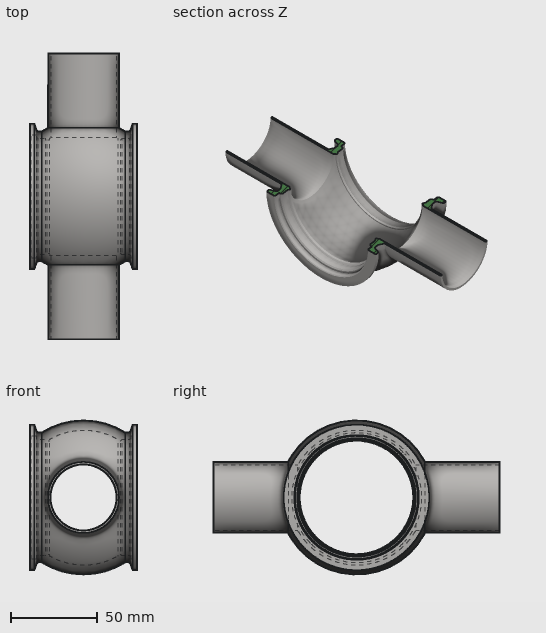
import cadquery as cq
import math

body_length = 62.0
tube_span = 165.0

ball_radius = 44.5
ball_inner_radius = 39.0

tube_outer_radius = 20.5
tube_wall = 1.5

flange_radius = 42.0
flange_rim_width = 2.6
flange_taper_angle = 20.0
flange_fillet_radius = 1.1
neck_radius = 37.5

mouth_chamfer = 0.5
seat_radius = 35.5
seat_depth = 3.8
bore_radius = 33.5
bore_edge_chamfer = 0.7
bore_depth = 9.0
lip_radius = 32.7
lip_end_depth = 11.2

half_length = body_length / 2
tube_inner_radius = tube_outer_radius - tube_wall
lip_chamfer = bore_radius - lip_radius


def chord_half_length(circle_radius, offset):
    """Half length of the chord of a circle at the given offset from its centre."""
    return math.sqrt(circle_radius**2 - offset**2)


def mirror_point(point):
    """Same radius at the opposite end of the body."""
    return (-point[0], point[1])


def revolve_about_x(profile):
    return profile.close().revolve(360, (0, 0, 0), (1, 0, 0))


def flange_fillet_points():
    """Start, middle and end of the arc from the flange taper to the neck, at the +X end."""
    taper = math.radians(flange_taper_angle)
    flange_height = flange_radius - neck_radius
    corner_x = half_length - flange_rim_width - flange_height * math.tan(taper)
    half_corner_angle = (math.pi / 2 + taper) / 2
    tangent_length = flange_fillet_radius / math.tan(half_corner_angle)

    start = (
        corner_x + tangent_length * math.sin(taper),
        neck_radius + tangent_length * math.cos(taper),
    )
    end = (corner_x - tangent_length, neck_radius)
    middle = (
        end[0] + flange_fillet_radius * math.cos(half_corner_angle),
        neck_radius + flange_fillet_radius * (1 - math.sin(half_corner_angle)),
    )
    return start, middle, end


def make_outer_body():
    """Ball with a neck and a flange at both ends, solid inside."""
    fillet_start, fillet_middle, fillet_end = flange_fillet_points()
    ball_edge = (chord_half_length(ball_radius, neck_radius), neck_radius)
    rim_back = (half_length - flange_rim_width, flange_radius)

    profile = (
        cq.Workplane("XY")
        .moveTo(-half_length, 0)
        .lineTo(-half_length, flange_radius)
        .lineTo(*mirror_point(rim_back))
        .lineTo(*mirror_point(fillet_start))
        .threePointArc(mirror_point(fillet_middle), mirror_point(fillet_end))
        .lineTo(*mirror_point(ball_edge))
        .threePointArc((0, ball_radius), ball_edge)
        .lineTo(*fillet_end)
        .threePointArc(fillet_middle, fillet_start)
        .lineTo(*rim_back)
        .lineTo(half_length, flange_radius)
        .lineTo(half_length, 0)
    )
    return revolve_about_x(profile)


def make_cavity():
    """Hollow inside the ball together with the stepped bores at both ends."""
    seat_x = half_length - seat_depth
    bore_end_x = half_length - bore_depth
    lip_end_x = half_length - lip_end_depth
    bore_profile = [
        (half_length, 0),
        (half_length, seat_radius + mouth_chamfer),
        (half_length - mouth_chamfer, seat_radius),
        (seat_x, seat_radius),
        (seat_x, bore_radius + bore_edge_chamfer),
        (seat_x - bore_edge_chamfer, bore_radius),
        (bore_end_x, bore_radius),
        (bore_end_x - lip_chamfer, lip_radius),
        (lip_end_x, lip_radius),
        (lip_end_x, chord_half_length(ball_inner_radius, lip_end_x)),
    ]
    opposite_bore = [mirror_point(point) for point in reversed(bore_profile)]

    profile = (
        cq.Workplane("XY")
        .polyline(bore_profile)
        .threePointArc((0, ball_inner_radius), opposite_bore[0])
    )
    for corner in opposite_bore[1:]:
        profile = profile.lineTo(*corner)
    return revolve_about_x(profile)


def make_tube_cylinder(radius):
    """Cylinder along Y over the full span of both branch tubes."""
    return cq.Workplane("XZ").circle(radius).extrude(tube_span / 2, both=True)


result = (
    make_outer_body()
    .union(make_tube_cylinder(tube_outer_radius))
    .cut(make_cavity())
    .cut(make_tube_cylinder(tube_inner_radius))
)